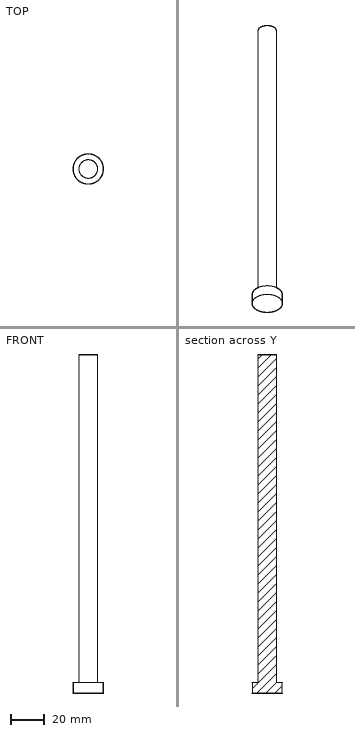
import cadquery as cq

total_length = 200.0
head_diameter = 18.0
head_height = 6.5
shank_diameter = 11.0

head = cq.Workplane("XY").circle(head_diameter / 2).extrude(head_height)
shank = cq.Workplane("XY").circle(shank_diameter / 2).extrude(total_length)

result = head.union(shank)